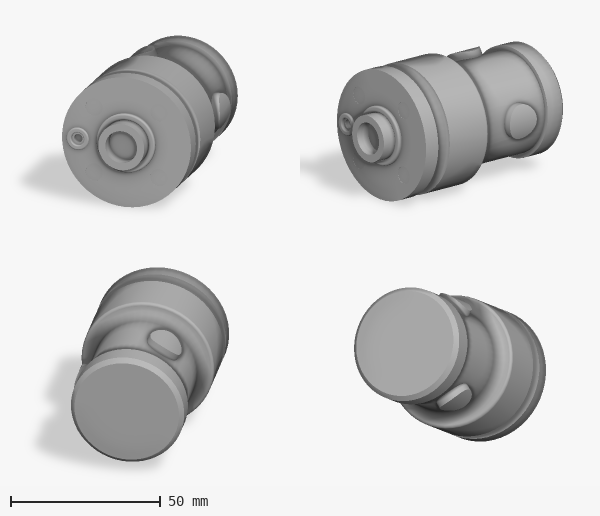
import cadquery as cq


body_radius = 22.5
front_rim_length = 5.5
groove_width = 5.1
groove_radius = groove_width / 2
body_length = 28.0
body_edge_round = 1.0

neck_radius = 17.6
neck_fillet = 3.8
head_radius = 19.25
head_start = 56.95
back_end = 65.05
head_chamfer = 1.5
head_chamfer_inset = 1.5

pin_count = 3
pin_radius = 5.95
pin_reach = 20.5
pin_end_radius = 12.2
pin_center = 45.0

overall_length = 71
nose_length = overall_length - back_end
nose_radius = 8.0
nose_bore_radius = 5.55
nose_bore_depth = 5
ring_outer_radius = 10.2
ring_height = 1.35
ring_outer_round = 0.65
ring_inner_round = 0.6

button_x = -16.8
button_radius = 3.9
button_height = 1.15
button_outer_round = 0.56
button_bore_radius = 2.2
button_inner_round = 0.4
button_hole_radius = 1.5
button_hole_depth = 1.8

mark_radius = 3.0
mark_offset = 11.3
mark_depth = 0.1


def cylinder(radius, start, length, x=0):
    """Cylinder along +Y from Y = start."""
    return cq.Workplane("XZ", origin=(x, start, 0)).circle(radius).extrude(-length)


def make_body():
    groove_start = front_rim_length
    groove_end = groove_start + groove_width
    shoulder_radius = body_radius - body_edge_round
    groove_bottom = (body_radius - groove_radius, groove_start + groove_radius)
    profile = (
        cq.Workplane("XY")
        .lineTo(body_radius, 0)
        .lineTo(body_radius, groove_start)
        .threePointArc(groove_bottom, (body_radius, groove_end))
        .lineTo(body_radius, body_length - body_edge_round)
        .radiusArc((shoulder_radius, body_length), -body_edge_round)
        .lineTo(neck_radius + neck_fillet, body_length)
        .radiusArc((neck_radius, body_length + neck_fillet), neck_fillet)
        .lineTo(neck_radius, head_start)
        .lineTo(head_radius, head_start)
        .lineTo(head_radius, back_end - head_chamfer)
        .lineTo(head_radius - head_chamfer_inset, back_end)
        .lineTo(0, back_end)
        .close()
    )
    return profile.revolve(360, (0, 0, 0), (0, 1, 0))


def make_pin():
    pin = cq.Workplane("YZ").center(pin_center, 0).circle(pin_radius).extrude(pin_reach)
    end_shape = cylinder(pin_end_radius, 0, back_end, pin_reach - pin_end_radius)
    return pin.intersect(end_shape)


def rounded_ring(outer_radius, inner_radius, height, outer_round, inner_round, x=0, outer_faces="<Y"):
    """Ring standing on the front face, rounded at its front bore edge and the given outer edges."""
    ring = cylinder(outer_radius, -height, height, x).faces(outer_faces).edges().fillet(outer_round)
    ring = ring.cut(cylinder(inner_radius, -height, height, x))
    return ring.faces("<Y").edges(cq.selectors.RadiusNthSelector(0)).fillet(inner_round)


def make_nose():
    nose = cylinder(nose_radius, -nose_length, nose_length)
    ring = rounded_ring(ring_outer_radius, nose_radius, ring_height, ring_outer_round, ring_inner_round)
    return nose.union(ring)


def make_button():
    return rounded_ring(
        button_radius,
        button_bore_radius,
        button_height,
        button_outer_round,
        button_inner_round,
        button_x,
        outer_faces="<Y or >Y",
    )


def make_marks():
    marks = cq.Workplane("XZ").rect(2 * mark_offset, 2 * mark_offset, forConstruction=True)
    return marks.vertices().circle(mark_radius).extrude(-mark_depth)


result = make_body()
for index in range(pin_count):
    angle = index * 360 / pin_count
    result = result.union(make_pin().rotate((0, 0, 0), (0, 1, 0), angle))

result = result.union(make_nose())
result = result.cut(cylinder(nose_bore_radius, -nose_length, nose_bore_depth))

result = result.union(make_button())
result = result.cut(cylinder(button_hole_radius, 0, button_hole_depth, button_x))

result = result.cut(make_marks())